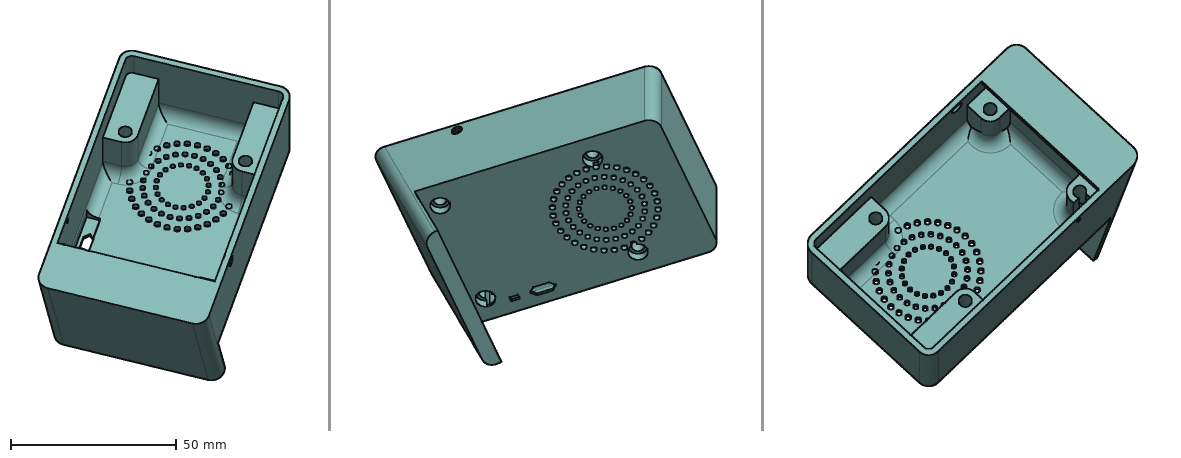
import cadquery as cq
import math


width = 53.72
body_height = 27.0
top_length = 92.48
wall = 2.0
floor_top = 2.0
outer_radius = 4.0
plate_thickness = 5.0
plate_length = 54.0
plate_tilt = math.radians(18)

half_inner = width / 2 - wall
cavity_corner_radius = 2.0
floor_fillet = 4.0
opening_front = -75.5
lip_thickness = 2.0

post_radius = 4.0
post_x = 19.0
rear_post_y = -23.75
front_post_y = -73.2
post_top = 18.25
screw_hole_diameter = 4.0
head_bore_diameter = 6.0
head_bore_depth = 3.0

post_front_gap = 0.54
cavity_front = front_post_y - post_radius - post_front_gap

sound_y = -27.0
sound_rings = [
    (8.0, 20, 1.4, 1.8),
    (12.0, 26, 1.6, 5.8),
    (16.0, 32, 1.8, 0.0),
]

pocket_floor = 1.0
pocket_left = -24.6
pocket_right = -20.25
pocket_back = -45.7
pocket_front = -74.0
connector_x = -21.75
connector_y = -55.6
connector_width = 3.3
connector_length = 8.4
window_x = -21.9
window_y = -64.9
window_width = 1.6
window_length = 2.8

side_hole_y = -64.8
side_hole_z = body_height - 2.9
side_hole_diameter = 3.3
pin_hole_diameter = 1.4
side_bore_diameter = 4.2
side_bore_depth = 1.2


def block(x_min, x_max, y_min, y_max, z_min, z_max):
    """Axis-aligned box given by its limits."""
    size = (x_max - x_min, y_max - y_min, z_max - z_min)
    return cq.Workplane("XY").box(*size, centered=False).translate((x_min, y_min, z_min))


def rod(x, y, diameter, z_min, z_max):
    """Upright cylinder."""
    return cq.Workplane("XY", origin=(x, y, z_min)).circle(diameter / 2).extrude(z_max - z_min)


def make_body():
    """Solid tray with the front plate, its outer upright edges rounded."""
    run = math.sin(plate_tilt)
    drop = math.cos(plate_tilt)
    toe = (-top_length + plate_length * run, body_height - plate_length * drop)
    heel = (toe[0] + plate_thickness * drop, toe[1] + plate_thickness * run)
    knee = (heel[0] + heel[1] * math.tan(plate_tilt), 0)
    profile = [(0, body_height), (-top_length, body_height), toe, heel, knee, (0, 0)]
    solid = cq.Workplane("YZ").polyline(profile).close().extrude(width / 2, both=True)
    front_edges = cq.selectors.ParallelDirSelector(cq.Vector(0, run, -drop))
    solid = solid.faces("<Y").edges(front_edges).fillet(outer_radius)
    return solid.faces(">Y").edges("|Z").fillet(outer_radius)


def make_lower_cavity():
    """Cavity up to the post tops: it narrows between the rear posts and has a rounded floor edge."""
    narrow = post_x - post_radius
    post_end = rear_post_y - post_radius
    height = body_height - lip_thickness - floor_top
    wide = block(-half_inner, half_inner, cavity_front, post_end, 0, height)
    neck = block(-narrow, narrow, post_end, -wall, 0, height)
    cavity = wide.union(neck)
    post_corners = cq.selectors.BoxSelector(
        (-post_x, post_end - post_radius, 0), (post_x, rear_post_y, height)
    )
    cavity = cavity.edges("|Z").edges(post_corners).fillet(post_radius)
    return cavity.faces("<Z").edges().fillet(floor_fillet).translate((0, 0, floor_top))


def make_upper_cavity():
    """Open mouth above the rear posts."""
    mouth = block(-half_inner, half_inner, opening_front, -wall, post_top, body_height)
    return mouth.edges("|Z and >Y").fillet(cavity_corner_radius)


def make_front_post(side):
    """Front post: flared cylinder joined to the side and front walls by a square block."""
    x_out = side * half_inner
    x_mid = side * post_x
    block_back = front_post_y + post_radius
    corner = block(min(x_mid, x_out), max(x_mid, x_out), cavity_front, block_back, 0, post_top)
    arm = block(x_mid - post_radius, x_mid + post_radius, cavity_front, front_post_y, 0, post_top)
    flare_radius = post_radius + floor_fillet
    flare_top = floor_top + floor_fillet
    bulge = floor_fillet * (1 - math.sqrt(0.5))
    flare = (
        cq.Workplane("XZ")
        .moveTo(0, floor_top)
        .lineTo(flare_radius, floor_top)
        .threePointArc((post_radius + bulge, floor_top + bulge), (post_radius, flare_top))
        .lineTo(post_radius, post_top)
        .lineTo(0, post_top)
        .close()
        .revolve(360, (0, 0, 0), (0, 1, 0))
        .translate((x_mid, front_post_y, 0))
    )
    inside = block(-half_inner, half_inner, cavity_front, -wall, floor_top, post_top)
    return corner.union(arm).union(flare).intersect(inside)


def make_sound_holes():
    """Rings of small holes through the floor; they end at floor level under the rounded floor edge."""
    holes = cq.Workplane("XY")
    for ring_radius, count, diameter, first_angle in sound_rings:
        ring = (
            cq.Workplane("XY", origin=(0, sound_y, 0))
            .polarArray(ring_radius, first_angle, 360, count)
            .circle(diameter / 2)
            .extrude(floor_top)
        )
        holes = holes.add(ring)
    return holes.combine()


def make_screw_hole(x, y):
    """Screw hole through a post, with a wider bore for the head from below."""
    shank = rod(x, y, screw_hole_diameter, 0, post_top)
    head = rod(x, y, head_bore_diameter, 0, head_bore_depth)
    return shank.union(head)


def make_pocket():
    """Pocket cut down into the floor, with a pointed connector slot and a small window beside it."""
    pocket = block(pocket_left, pocket_right, pocket_front, pocket_back, pocket_floor, post_top)
    half_width = connector_width / 2
    tip = connector_length / 2
    shoulder = tip - half_width
    slot = (
        cq.Workplane("XY", origin=(connector_x, connector_y, 0))
        .polyline(
            [
                (0, tip),
                (half_width, shoulder),
                (half_width, -shoulder),
                (0, -tip),
                (-half_width, -shoulder),
                (-half_width, shoulder),
            ]
        )
        .close()
        .extrude(floor_top)
    )
    window = (
        cq.Workplane("XY", origin=(window_x, window_y, 0))
        .rect(window_width, window_length)
        .extrude(pocket_floor)
    )
    return pocket.union(slot).union(window)


def cross_hole(diameter, x_min, x_max):
    """Cylinder along X at the cross-hole axis."""
    start = cq.Workplane("YZ", origin=(x_min, side_hole_y, side_hole_z))
    return start.circle(diameter / 2).extrude(x_max - x_min)


def make_side_holes():
    """Stepped hole through the +X wall, wider on the inside, and a pin hole through the -X wall."""
    bore_end = half_inner + side_bore_depth
    bore = cross_hole(side_bore_diameter, 0, bore_end)
    exit_hole = cross_hole(side_hole_diameter, bore_end, width / 2)
    pin_hole = cross_hole(pin_hole_diameter, -width / 2, 0)
    return bore.union(exit_hole).union(pin_hole)


result = make_body().cut(make_lower_cavity())
for side in (-1, 1):
    result = result.union(make_front_post(side))
result = result.cut(make_upper_cavity()).cut(make_pocket()).cut(make_sound_holes())
for side in (-1, 1):
    for post_y in (rear_post_y, front_post_y):
        result = result.cut(make_screw_hole(side * post_x, post_y))
result = result.cut(make_side_holes())